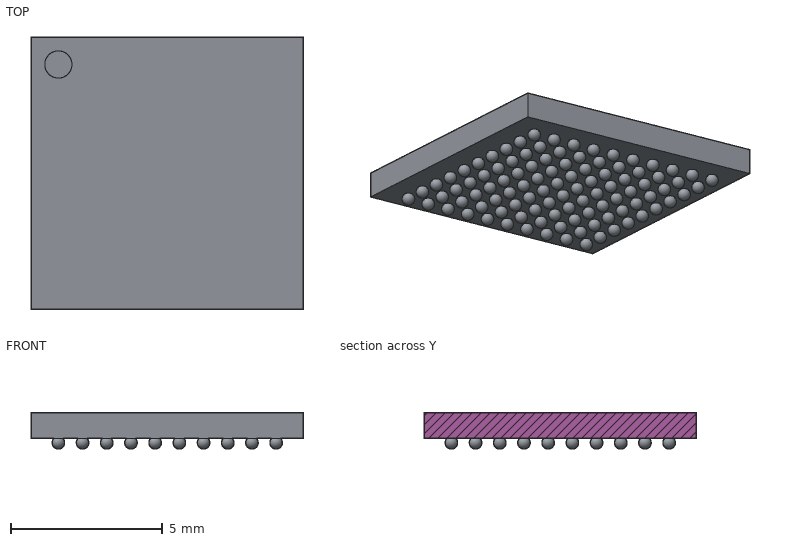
import cadquery as cq


BODY_SIDE = 9.0
TOTAL_HEIGHT = 1.21
STANDOFF = 0.36
BODY_THICKNESS = TOTAL_HEIGHT - STANDOFF

BALL_DIAMETER = 0.42
BALL_RADIUS = BALL_DIAMETER / 2
BALLS_PER_SIDE = 10
BALL_PITCH = 0.8

MARK_DIAMETER = 0.9
MARK_DEPTH = 0.005
MARK_INSET = MARK_DIAMETER


def make_body():
    """Square slab resting above the solder balls."""
    return (
        cq.Workplane("XY")
        .workplane(offset=STANDOFF)
        .rect(BODY_SIDE, BODY_SIDE)
        .extrude(BODY_THICKNESS)
    )


def make_pin_one_mark():
    """Shallow round recess in the top face, at the -X +Y corner."""
    mark_offset = BODY_SIDE / 2 - MARK_INSET
    return (
        cq.Workplane("XY")
        .workplane(offset=TOTAL_HEIGHT - MARK_DEPTH)
        .center(-mark_offset, mark_offset)
        .circle(MARK_DIAMETER / 2)
        .extrude(MARK_DEPTH)
    )


def make_balls():
    """Full square grid of balls, each sunk slightly into the body."""
    return (
        cq.Workplane("XY")
        .workplane(offset=BALL_RADIUS)
        .rarray(BALL_PITCH, BALL_PITCH, BALLS_PER_SIDE, BALLS_PER_SIDE)
        .sphere(BALL_RADIUS, combine=False)
    )


result = make_body().cut(make_pin_one_mark()).union(make_balls())